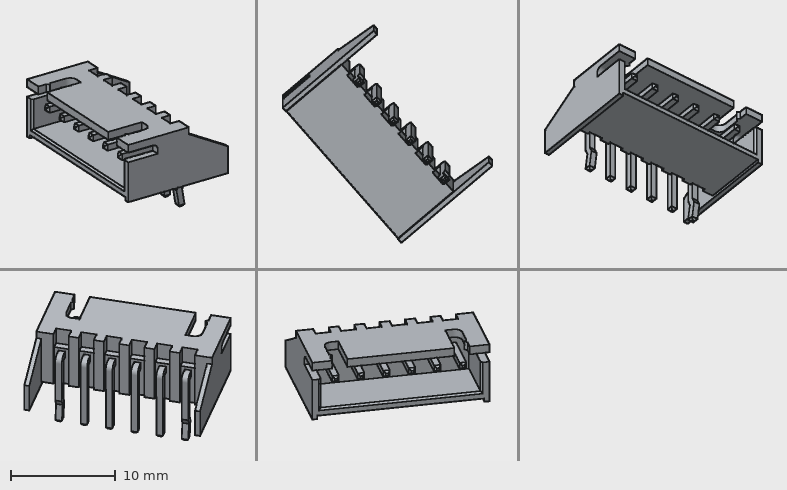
import cadquery as cq


width = 17.4
body_depth = 7.0
height = 6.1
standoff = 0.35
top_wall = 0.85
floor_wall = 0.75
side_wall = 0.85

cavity_depth = 5.1
mouth_chamfer = 0.2
cavity_width = width - 2 * side_wall
cavity_bottom = standoff + floor_wall
cavity_top = height - top_wall
cavity_height = cavity_top - cavity_bottom

plate_thickness = 0.5
plate_depth = 11.5
wing_root_height = 5.35
wing_rear_height = 2.85

side_slot_depth = 3.4
side_slot_height = 1.0
side_slot_radius = 0.5

top_slot_outer_x = 6.75
top_slot_width = 1.5
top_slot_depth = 3.9
top_slot_radius = 0.75
bump_y = 1.15
bump_size = 0.25

pin_count = 6
pitch = 2.5
pin_size = 0.65
pin_z = 3.75
pin_front_y = 0.5
pin_rear_y = 7.93
pin_drop = 3.4
tip_length = 0.25
tip_size = 0.25
pin_row = [(i - (pin_count - 1) / 2) * pitch for i in range(pin_count)]

kink_start_z = -0.9
kink_peak_z = -1.5
kink_offset = 0.28

notch_width = 1.5
notch_front_y = 6.0
ledge_rear_y = 6.7
ledge_z = 4.4


def block(x_min, x_max, y_min, y_max, z_min, z_max):
    """Axis-aligned box given by its limits."""
    size = (x_max - x_min, y_max - y_min, z_max - z_min)
    return cq.Workplane("XY").box(*size, centered=False).translate((x_min, y_min, z_min))


def centred_block(x, width_x, y_min, y_max, z_min, z_max):
    """Box centred on x, given by its width and its Y and Z limits."""
    return block(x - width_x / 2, x + width_x / 2, y_min, y_max, z_min, z_max)


def side_plate():
    """Plate on the -X side with its sloping rear wing."""
    return (
        cq.Workplane("YZ", origin=(-width / 2, 0, 0))
        .polyline([
            (0, 0),
            (plate_depth, 0),
            (plate_depth, wing_rear_height),
            (body_depth, wing_root_height),
            (body_depth, height),
            (0, height),
        ])
        .close()
        .extrude(plate_thickness)
    )


def cavity():
    """Mating cavity, with its mouth widened at the floor and at both sides."""
    pocket = centred_block(0, cavity_width, 0, cavity_depth, cavity_bottom, cavity_top)
    mouth = (
        cq.Workplane("XZ", origin=(0, 0, cavity_top))
        .center(0, -(cavity_height + mouth_chamfer) / 2)
        .rect(cavity_width + 2 * mouth_chamfer, cavity_height + mouth_chamfer)
        .workplane(offset=-mouth_chamfer)
        .center(0, mouth_chamfer / 2)
        .rect(cavity_width, cavity_height)
        .loft()
    )
    return pocket.union(mouth)


def side_slots():
    """Slot across both side walls, rounded at its upper rear edge."""
    return (
        centred_block(0, width, 0, side_slot_depth, cavity_top - side_slot_height, cavity_top)
        .edges("|X and >Y and >Z")
        .fillet(side_slot_radius)
    )


def top_slot():
    """Slot through the top wall on the -X side, with a small bump on its outer edge."""
    outer_x = -top_slot_outer_x
    inner_x = outer_x + top_slot_width
    return (
        cq.Workplane("XY", origin=(0, 0, cavity_top))
        .moveTo(outer_x, 0)
        .lineTo(outer_x, bump_y - bump_size)
        .lineTo(outer_x + bump_size, bump_y)
        .lineTo(outer_x, bump_y + bump_size)
        .lineTo(outer_x, top_slot_depth - top_slot_radius)
        .radiusArc((outer_x + top_slot_radius, top_slot_depth), top_slot_radius)
        .lineTo(inner_x, top_slot_depth)
        .lineTo(inner_x, 0)
        .close()
        .extrude(top_wall)
    )


def rear_notch(x):
    """Notch behind one pin, leaving a ledge that covers the pin's root."""
    upper = centred_block(x, notch_width, notch_front_y, body_depth, ledge_z, height)
    lower = centred_block(x, notch_width, ledge_rear_y, body_depth, standoff, ledge_z)
    return upper.union(lower)


def mirrored_pair(half):
    """A -X side feature together with its +X twin."""
    return half.union(half.mirror("YZ"))


def pin_tip(origin, direction):
    """Tapered pin end, growing from origin along direction."""
    return (
        cq.Workplane(cq.Plane(origin, xDir=(1, 0, 0), normal=direction))
        .rect(pin_size, pin_size)
        .workplane(offset=tip_length)
        .rect(tip_size, tip_size)
        .loft()
    )


def pin(x, kinked):
    """Right-angle pin with a rounded outer bend and two tapered ends."""
    z_top = pin_z + pin_size / 2
    z_under = pin_z - pin_size / 2
    leg_front_y = pin_rear_y - pin_size
    shank_y = pin_front_y + tip_length
    shank_z = tip_length - pin_drop
    kink = [(-kink_offset, kink_peak_z), (0, kink_start_z)] if kinked else []
    leg_line = [(0, shank_z)] + kink + [(0, z_under)]

    profile = cq.Workplane("YZ", origin=(x - pin_size / 2, 0, 0)).moveTo(leg_front_y, shank_z)
    for offset_y, z in leg_line[1:]:
        profile = profile.lineTo(leg_front_y + offset_y, z)
    profile = profile.lineTo(shank_y, z_under).lineTo(shank_y, z_top).lineTo(leg_front_y, z_top)
    profile = profile.radiusArc((pin_rear_y, z_under), pin_size)
    for offset_y, z in reversed(leg_line[:-1]):
        profile = profile.lineTo(pin_rear_y + offset_y, z)
    bent_wire = profile.close().extrude(pin_size)

    front_tip = pin_tip((x, shank_y, pin_z), (0, -1, 0))
    board_tip = pin_tip((x, pin_rear_y - pin_size / 2, shank_z), (0, 0, -1))
    return bent_wire.union(front_tip).union(board_tip)


def housing():
    """Plastic body with its cavity, slots, notches and side plates."""
    body = centred_block(0, width, 0, body_depth, standoff, height)
    body = body.union(mirrored_pair(side_plate()))
    body = body.cut(cavity()).cut(side_slots()).cut(mirrored_pair(top_slot()))
    for x in pin_row:
        body = body.cut(rear_notch(x))
    return body


result = housing()
for x in pin_row:
    is_end_pin = x in (pin_row[0], pin_row[-1])
    result = result.union(pin(x, is_end_pin))